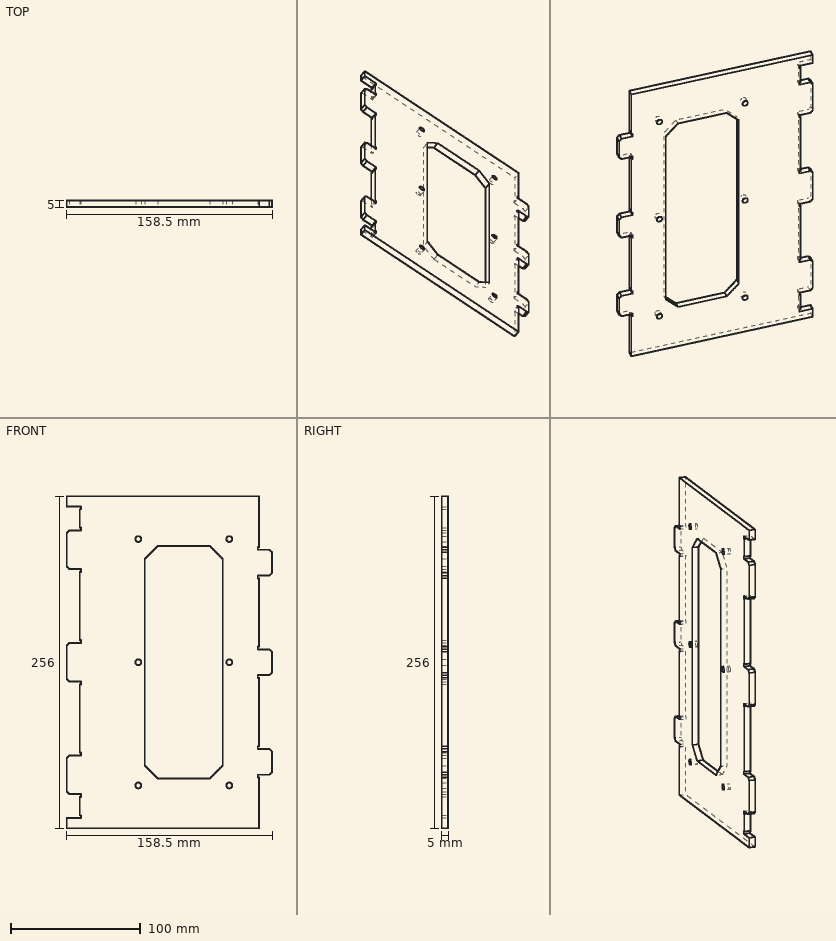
import cadquery as cq

height = 256.0
overall_width = 158.5
thickness = 5.0

tab_depth = 10.0
tab_count = 3
tab_chamfer = 2.0
left_tab_length = 30.0
left_tab_pitch = 86.8
right_tab_length = 20.0
right_tab_pitch = 76.8
end_hook_length = 8.0

relief_depth = 1.0
relief_length = 2.0

window_width = 60.0
window_height = 179.2
window_chamfer = 10.0
window_center_x = 90.4
hole_diameter = 4.4
hole_spacing_x = 70.1
hole_pitch_z = 95.0
hole_columns = 2
hole_rows = 3

body_left = tab_depth
body_right = overall_width - tab_depth


def block(x_min, x_max, z_min, z_max):
    """Full-thickness block between the given X and Z limits."""
    center = ((x_min + x_max) / 2, thickness / 2, (z_min + z_max) / 2)
    return cq.Workplane("XY").box(x_max - x_min, thickness, z_max - z_min).translate(center)


def tab_centers(pitch):
    """Z positions of a row of tabs centered on the plate."""
    return [(i - (tab_count - 1) / 2) * pitch for i in range(tab_count)]


def cut_relief(plate, edge_x, z, inward, away):
    """Notch the body edge from z, running inward in X and away from the tab in Z."""
    x_limits = sorted((edge_x, edge_x + inward * relief_depth))
    z_limits = sorted((z, z + away * relief_length))
    return plate.cut(block(*x_limits, *z_limits))


def add_tabs(plate, edge_x, outward, length, pitch):
    """Add a row of chamfered tabs, with a relief on each side of every tab."""
    outer_face = ">X" if outward > 0 else "<X"
    x_limits = sorted((edge_x, edge_x + outward * tab_depth))
    for center_z in tab_centers(pitch):
        tab = block(*x_limits, center_z - length / 2, center_z + length / 2)
        plate = plate.union(tab.faces(outer_face).edges("|Y").chamfer(tab_chamfer))
        for side in (-1, 1):
            plate = cut_relief(plate, edge_x, center_z + side * length / 2, -outward, side)
    return plate


def add_end_hooks(plate):
    """Extend the top and bottom of the left edge out to the tab line."""
    for side in (-1, 1):
        inner_z = side * (height / 2 - end_hook_length)
        z_limits = sorted((inner_z, side * height / 2))
        plate = plate.union(block(0, body_left, *z_limits))
        plate = cut_relief(plate, body_left, inner_z, 1, -side)
    return plate


def cut_window(plate):
    """Cut the central window with its four chamfered corners."""
    window = block(
        window_center_x - window_width / 2,
        window_center_x + window_width / 2,
        -window_height / 2,
        window_height / 2,
    )
    return plate.cut(window.edges("|Y").chamfer(window_chamfer))


def cut_screw_holes(plate):
    """Drill the columns of through holes beside the window."""
    holes = (
        cq.Workplane("XZ")
        .center(window_center_x, 0)
        .rarray(hole_spacing_x, hole_pitch_z, hole_columns, hole_rows)
        .circle(hole_diameter / 2)
        .extrude(-thickness)
    )
    return plate.cut(holes)


result = block(body_left, body_right, -height / 2, height / 2)
result = add_tabs(result, body_left, -1, left_tab_length, left_tab_pitch)
result = add_tabs(result, body_right, 1, right_tab_length, right_tab_pitch)
result = add_end_hooks(result)
result = cut_window(result)
result = cut_screw_holes(result)